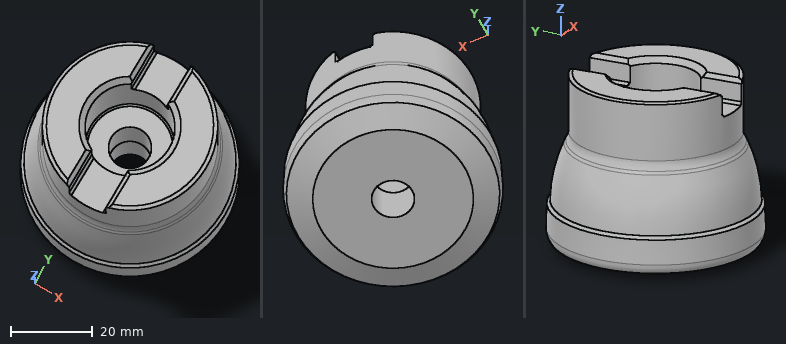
import cadquery as cq
import math

total_height = 45.0
split_height = 12.0

collar_radius = 43.0 / 2
collar_base_height = 30.0
collar_chamfer_width = 1.0
collar_chamfer_height = 0.4
neck_blend_radius = 5.0
neck_angle = math.radians(30)
dome_top_height = 26.7
dome_base_radius = 52.02 / 2
dome_arc_radius = 38.0

bore_radius = 22.01 / 2
bore_depth = 20.0
bore_entry_chamfer = 1.5
bore_floor_chamfer = 0.5
screw_hole_radius = 10.5 / 2

slot_width = 10.4
slot_depth = 6.5
slot_entry_chamfer = 1.1
slot_floor_chamfer = 0.75

ring_radius = 54.0 / 2
ring_top_chamfer = 0.8
ring_side_taper = 0.2
ring_corner_top_height = 4.8
ring_corner_base_height = 2.2
ring_corner_base_radius = 26.15
ring_face_radius = 19.7


def revolve_about_z(profile):
    """Turn an (R, Z) profile drawn on the XZ plane about the Z axis."""
    return profile.close().revolve(360, (0, 0, 0), (0, 1, 0))


def hub_blank():
    """Solid hub: domed base, blended neck and chamfered collar."""
    neck_end_radius = collar_radius + neck_blend_radius * (1 - math.cos(neck_angle))
    neck_end_height = collar_base_height - neck_blend_radius * math.sin(neck_angle)
    dome_top_radius = neck_end_radius + (neck_end_height - dome_top_height) * math.tan(neck_angle)
    profile = (
        cq.Workplane("XZ")
        .moveTo(0, split_height)
        .lineTo(dome_base_radius, split_height)
        .radiusArc((dome_top_radius, dome_top_height), -dome_arc_radius)
        .lineTo(neck_end_radius, neck_end_height)
        .radiusArc((collar_radius, collar_base_height), neck_blend_radius)
        .lineTo(collar_radius, total_height - collar_chamfer_height)
        .lineTo(collar_radius - collar_chamfer_width, total_height)
        .lineTo(0, total_height)
    )
    return revolve_about_z(profile)


def arbor_bore():
    """Stepped bore: chamfered arbor seat above the screw clearance hole."""
    floor_height = total_height - bore_depth
    profile = (
        cq.Workplane("XZ")
        .moveTo(0, split_height)
        .lineTo(screw_hole_radius, split_height)
        .lineTo(screw_hole_radius, floor_height)
        .lineTo(bore_radius - bore_floor_chamfer, floor_height)
        .lineTo(bore_radius, floor_height + bore_floor_chamfer)
        .lineTo(bore_radius, total_height - bore_entry_chamfer)
        .lineTo(bore_radius + bore_entry_chamfer, total_height)
        .lineTo(0, total_height)
    )
    return revolve_about_z(profile)


def driving_slot():
    """Slot with chamfered mouth and chamfered floor corners."""
    half_width = slot_width / 2
    floor_height = total_height - slot_depth
    right_side = [
        (half_width - slot_floor_chamfer, floor_height),
        (half_width, floor_height + slot_floor_chamfer),
        (half_width, total_height - slot_entry_chamfer),
        (half_width + slot_entry_chamfer, total_height),
    ]
    left_side = [(-x, z) for x, z in reversed(right_side)]
    return (
        cq.Workplane("XZ")
        .polyline(right_side + left_side)
        .close()
        .extrude(collar_radius, both=True)
    )


def build_hub():
    return hub_blank().cut(arbor_bore()).cut(driving_slot())


def build_cutting_ring():
    """Tapered cutting ring with a rounded lower corner, a shallow conical end face and a screw hole."""
    rim_radius = ring_radius - ring_side_taper
    profile = (
        cq.Workplane("XZ")
        .moveTo(screw_hole_radius, split_height)
        .lineTo(rim_radius - ring_top_chamfer, split_height)
        .lineTo(rim_radius, split_height - ring_top_chamfer)
        .lineTo(ring_radius, ring_corner_top_height)
        .tangentArcPoint((ring_corner_base_radius, ring_corner_base_height), relative=False)
        .lineTo(ring_face_radius, 0)
        .lineTo(screw_hole_radius, 0)
    )
    return revolve_about_z(profile)


hub = build_hub()
cutting_ring = build_cutting_ring()

result = cq.Compound.makeCompound([hub.val(), cutting_ring.val()])